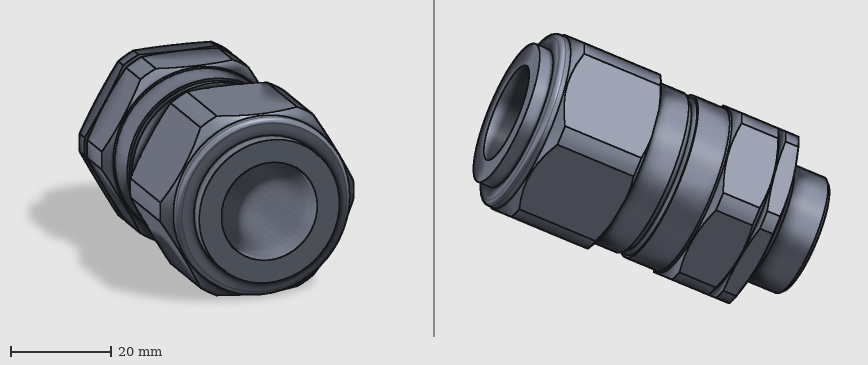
import cadquery as cq
import math

TOTAL_LENGTH = 65.95
BORE_DIAMETER = 20.4
BORE_CHAMFER = 0.2

SPIGOT_DIAMETER = 25.0
SPIGOT_CHAMFER = 0.7
SPIGOT_END = 8.2
RELIEF_DIAMETER = 22.6
RELIEF_BOTTOM = 9.4
RELIEF_FILLET = 0.5

BODY_HEX_FLATS = 35.95
BODY_HEX_CORNERS = 39.5
BODY_HEX_FACE_DIAMETER = 35.5
BODY_HEX_START = 10.15
THIN_HEX_CHAMFER_END = 10.8
THIN_HEX_CROWN_END = 13.7
NOTCH_X = 14.25
WIDE_HEX_CROWN_START = 15.35
WIDE_HEX_CROWN_END = 23.5
WIDE_HEX_END = 24.65

FRONT_LAND_DIAMETER = 35.0
FRONT_LAND_START = 25.05
FRONT_LAND_END = 32.05
GROOVE_SHOULDER_DIAMETER = 33.95
GROOVE_DIAMETER = 32.25
GROOVE_BOTTOM = 32.85
REAR_LAND_DIAMETER = 34.5
REAR_LAND_START = 34.0

SLEEVE_DIAMETER = 29.8

NUT_FLATS = 37.5
NUT_CORNERS = 41.2
NUT_START = 40.95
NUT_FACE_DIAMETER = 38.05
NUT_CROWN_START = 41.95
NUT_CROWN_END = 58.9
NUT_COLLAR_DIAMETER = 37.0
NUT_COLLAR_START = 60.9
NUT_END = 63.0
NUT_COLLAR_FILLET = 1.0


def revolve_profile(stations):
    """Revolve (x, diameter) stations about the X axis into a solid."""
    outline = [(stations[0][0], 0)]
    outline += [(x, diameter / 2) for x, diameter in stations]
    outline.append((stations[-1][0], 0))
    return cq.Workplane("XY").polyline(outline).close().revolve(360, (0, 0, 0), (1, 0, 0))


def cylinder(diameter, start, end):
    return cq.Workplane("YZ", origin=(start, 0, 0)).circle(diameter / 2).extrude(end - start)


def hex_prism(across_flats, start, end):
    """Hexagonal prism along X with corners on +Y and -Y."""
    circumscribed_diameter = across_flats / math.cos(math.pi / 6)
    return cq.Workplane("YZ", origin=(start, 0, 0)).polygon(6, circumscribed_diameter).extrude(end - start)


def make_spigot():
    """Spigot whose relief blends into the hexagon face with a concave fillet."""
    nose_radius = SPIGOT_DIAMETER / 2 - SPIGOT_CHAMFER
    thread_radius = SPIGOT_DIAMETER / 2
    relief_radius = RELIEF_DIAMETER / 2
    fillet_start = BODY_HEX_START - RELIEF_FILLET
    diagonal_step = RELIEF_FILLET * math.sin(math.pi / 4)
    fillet_end = (BODY_HEX_START, relief_radius + RELIEF_FILLET)
    fillet_middle = (fillet_start + diagonal_step, fillet_end[1] - diagonal_step)
    return (
        cq.Workplane("XY")
        .moveTo(0, 0)
        .lineTo(0, nose_radius)
        .lineTo(SPIGOT_CHAMFER, thread_radius)
        .lineTo(SPIGOT_END, thread_radius)
        .lineTo(RELIEF_BOTTOM, relief_radius)
        .lineTo(fillet_start, relief_radius)
        .threePointArc(fillet_middle, fillet_end)
        .lineTo(BODY_HEX_START, 0)
        .close()
        .revolve(360, (0, 0, 0), (1, 0, 0))
    )


def make_body_hexes():
    crowned_blank = revolve_profile([
        (BODY_HEX_START, BODY_HEX_FACE_DIAMETER),
        (THIN_HEX_CHAMFER_END, BODY_HEX_CORNERS),
        (THIN_HEX_CROWN_END, BODY_HEX_CORNERS),
        (NOTCH_X, BODY_HEX_FACE_DIAMETER),
        (WIDE_HEX_CROWN_START, BODY_HEX_CORNERS),
        (WIDE_HEX_CROWN_END, BODY_HEX_CORNERS),
        (WIDE_HEX_END, BODY_HEX_FACE_DIAMETER),
    ])
    return crowned_blank.intersect(hex_prism(BODY_HEX_FLATS, BODY_HEX_START, WIDE_HEX_END))


def make_barrel():
    return revolve_profile([
        (WIDE_HEX_END, BODY_HEX_FACE_DIAMETER),
        (FRONT_LAND_START, FRONT_LAND_DIAMETER),
        (FRONT_LAND_END, FRONT_LAND_DIAMETER),
        (FRONT_LAND_END, GROOVE_SHOULDER_DIAMETER),
        (GROOVE_BOTTOM, GROOVE_DIAMETER),
        (REAR_LAND_START, REAR_LAND_DIAMETER),
        (NUT_START, REAR_LAND_DIAMETER),
    ])


def make_gland_body():
    sleeve = cylinder(SLEEVE_DIAMETER, NUT_START, TOTAL_LENGTH)
    bore = revolve_profile([
        (0, BORE_DIAMETER + 2 * BORE_CHAMFER),
        (BORE_CHAMFER, BORE_DIAMETER),
        (TOTAL_LENGTH, BORE_DIAMETER),
    ])
    outside = make_spigot().union(make_body_hexes()).union(make_barrel()).union(sleeve)
    return outside.cut(bore)


def make_compression_nut():
    crowned_blank = revolve_profile([
        (NUT_START, NUT_FACE_DIAMETER),
        (NUT_CROWN_START, NUT_CORNERS),
        (NUT_CROWN_END, NUT_CORNERS),
        (NUT_COLLAR_START, NUT_COLLAR_DIAMETER),
    ])
    hex_section = crowned_blank.intersect(hex_prism(NUT_FLATS, NUT_START, NUT_COLLAR_START))
    collar = cylinder(NUT_COLLAR_DIAMETER, NUT_COLLAR_START, NUT_END)
    collar = collar.faces(">X").edges().fillet(NUT_COLLAR_FILLET)
    sleeve_hole = cylinder(SLEEVE_DIAMETER, NUT_START, NUT_END)
    return hex_section.union(collar).cut(sleeve_hole)


gland_body = make_gland_body()
compression_nut = make_compression_nut()
result = cq.Compound.makeCompound([gland_body.solids().val(), compression_nut.solids().val()])